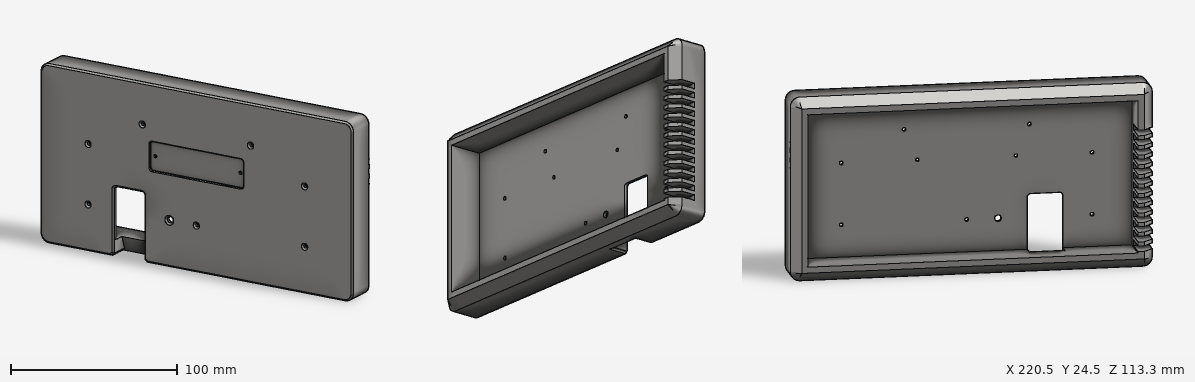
import cadquery as cq

total_width = 220.5
catch_height = 0.2
width = total_width - catch_height
height = 113.3
depth = 24.5
corner_radius = 6.0
back_chamfer = corner_radius
front_chamfer = 1.0

plate_thickness = 3.0
rim = 9.7
half_width = width / 2
bottom = -height / 2
rim_top = bottom + rim

hole_pitch = 38.1
hole_diameter = 2.2
large_hole_diameter = 4.0
lower_row = -27.1
middle_row = lower_row + hole_pitch
upper_row = middle_row + hole_pitch / 2

recess_width = 66.0
recess_height = 18.3
recess_depth = 1.5
recess_radius = 2.0
recess_chamfer = 0.55
recess_hole_diameter = 2.0
recess_hole_offset = 30.0

notch_width = 21.5
notch_center = -1.25 * hole_pitch
notch_top = -12.8
notch_radius = 2.0
notch_mouth_radius = 1.3
notch_back_at_bottom = 13.2
notch_back_at_rim = 9.7

slot_count = 13
slot_pitch = 6.0
slot_height = 3.5
slot_length = 15.5
top_slot_z = 27.1

catch_gap_count = 3
catch_thickness = 0.5
catch_end_length = 0.2


def block(x_range, y_range, z_range):
    """Box given by its limits along each axis."""
    x0, x1 = x_range
    y0, y1 = y_range
    z0, z1 = z_range
    return cq.Workplane("XY").box(x1 - x0, y1 - y0, z1 - z0, centered=False).translate((x0, y0, z0))


def bore(points, diameter):
    """Round cutters through the front plate at (x, z) points."""
    return cq.Workplane("XZ").pushPoints(points).circle(diameter / 2).extrude(-rim)


def make_shell():
    shell = cq.Workplane("XZ").rect(width, height).extrude(-depth)
    shell = shell.edges("|Y").fillet(corner_radius)
    shell = shell.faces(">Y").edges().chamfer(back_chamfer)
    cavity = (
        cq.Workplane("XZ", origin=(0, plate_thickness, 0))
        .rect(width - 2 * rim, height - 2 * rim)
        .extrude(-depth)
    )
    return shell.cut(cavity)


def make_recess():
    recess = (
        cq.Workplane("XZ", origin=(0, 0, middle_row))
        .rect(recess_width, recess_height)
        .extrude(-recess_depth)
        .edges("|Y")
        .fillet(recess_radius)
    )
    flare = (
        cq.Workplane("XZ", origin=(0, 0, middle_row))
        .rect(recess_width + 2 * recess_chamfer, recess_height + 2 * recess_chamfer)
        .extrude(-2 * recess_chamfer)
        .edges("|Y")
        .fillet(recess_radius + recess_chamfer)
        .faces(">Y")
        .edges()
        .chamfer(recess_chamfer)
        .translate((0, -recess_chamfer, 0))
    )
    fixing_points = [(side * recess_hole_offset, middle_row) for side in (-1, 1)]
    return recess.union(flare).union(bore(fixing_points, recess_hole_diameter))


def make_notch():
    left = notch_center - notch_width / 2
    right = notch_center + notch_width / 2
    r = notch_radius
    mouth = notch_mouth_radius
    outline = (
        cq.Workplane("XZ")
        .moveTo(left - mouth, bottom)
        .radiusArc((left, bottom + mouth), mouth)
        .lineTo(left, notch_top - r)
        .radiusArc((left + r, notch_top), r)
        .lineTo(right - r, notch_top)
        .radiusArc((right, notch_top - r), r)
        .lineTo(right, bottom + mouth)
        .radiusArc((right + mouth, bottom), mouth)
        .close()
        .extrude(-notch_back_at_bottom)
    )
    side_profile = (
        cq.Workplane("YZ", origin=(left - mouth, 0, 0))
        .moveTo(0, bottom)
        .lineTo(notch_back_at_bottom, bottom)
        .lineTo(notch_back_at_rim, rim_top)
        .lineTo(notch_back_at_rim, notch_top)
        .lineTo(0, notch_top)
        .close()
        .extrude(notch_width + 2 * mouth)
    )
    return outline.intersect(side_profile)


def make_vent_slot(index):
    z = top_slot_z - index * slot_pitch
    return block(
        (-half_width, -half_width + rim),
        (depth - slot_length, depth),
        (z - slot_height / 2, z + slot_height / 2),
    )


def make_catch():
    y_middle = depth - back_chamfer
    y_range = (y_middle - catch_thickness / 2, y_middle + catch_thickness / 2)
    x_range = (half_width - rim / 2, half_width + catch_height)
    last_gap_z = top_slot_z - (catch_gap_count - 1) * slot_pitch
    end_offset = slot_height / 2 + catch_end_length
    catch = block(x_range, y_range, (last_gap_z - end_offset, top_slot_z + end_offset))
    for index in range(catch_gap_count):
        z = top_slot_z - index * slot_pitch
        catch = catch.cut(block(x_range, y_range, (z - slot_height / 2, z + slot_height / 2)))
    return catch


mounting_points = [
    (-hole_pitch, upper_row),
    (hole_pitch, upper_row),
    (-2 * hole_pitch, middle_row),
    (2 * hole_pitch, middle_row),
    (-2 * hole_pitch, lower_row),
    (0, lower_row),
    (2 * hole_pitch, lower_row),
]

result = make_shell()
result = result.cut(make_notch())
result = result.cut(bore(mounting_points, hole_diameter))
result = result.cut(bore([(-hole_pitch / 2, lower_row)], large_hole_diameter))

result = result.faces("<Y").edges().chamfer(front_chamfer)

result = result.cut(make_recess())

for slot_index in range(slot_count):
    result = result.cut(make_vent_slot(slot_index))

result = result.union(make_catch())